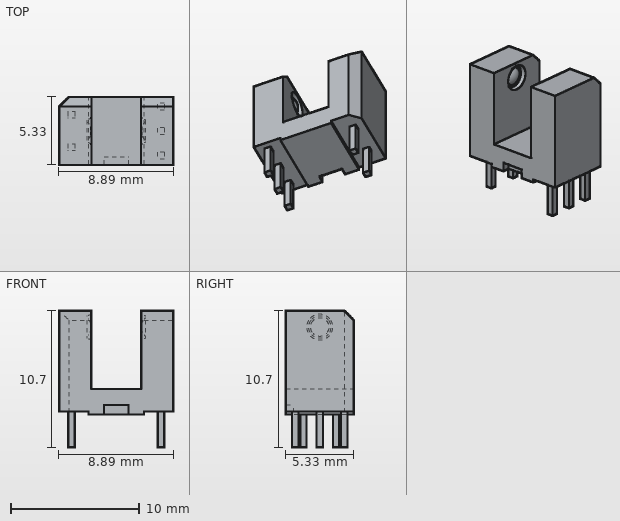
import cadquery as cq

body_length = 8.89
body_width = 5.33
body_height = 7.87
slot_width = 3.86
slot_depth = 6.1

top_chamfer = 0.76
corner_chamfer_x = 0.77
corner_chamfer_y = 0.74

foot_length = 4.34
foot_height = 0.25
pocket_length = 1.92
pocket_height = 0.74
pocket_depth = 0.635

overall_height = 10.67
lead_row_spacing = 6.985
lead_thickness = 0.53
left_lead_width = 0.50
left_lead_pitch = 2.54
right_lead_width = 0.53
right_lead_pitch = 1.905

aperture_drop = 1.29
aperture_mouth_radius = 1.01
aperture_floor_radius = 0.87
aperture_depth = 0.35
lens_radius = 0.72
lens_rise = 0.34

half_length = body_length / 2
half_width = body_width / 2
slot_half = slot_width / 2
aperture_z = body_height - aperture_drop
lead_bottom = body_height - overall_height


def make_housing():
    """U-shaped body with its standoff foot, extruded along Y."""
    foot_half = foot_length / 2
    slot_floor = body_height - slot_depth
    return (
        cq.Workplane("XZ")
        .moveTo(-half_length, 0)
        .lineTo(-foot_half, 0)
        .lineTo(-foot_half, -foot_height)
        .lineTo(foot_half, -foot_height)
        .lineTo(foot_half, 0)
        .lineTo(half_length, 0)
        .lineTo(half_length, body_height)
        .lineTo(slot_half, body_height)
        .lineTo(slot_half, slot_floor)
        .lineTo(-slot_half, slot_floor)
        .lineTo(-slot_half, body_height)
        .lineTo(-half_length, body_height)
        .close()
        .extrude(half_width, both=True)
    )


def make_top_chamfer_cut():
    """Wedge along X that bevels the top back edge of both towers."""
    return (
        cq.Workplane("YZ")
        .moveTo(half_width, body_height)
        .lineTo(half_width - top_chamfer, body_height)
        .lineTo(half_width, body_height - top_chamfer)
        .close()
        .extrude(half_length, both=True)
    )


def make_corner_chamfer_cut():
    """Upright wedge that bevels the back corner of the -X tower."""
    return (
        cq.Workplane("XY")
        .moveTo(-half_length, half_width)
        .lineTo(-half_length + corner_chamfer_x, half_width)
        .lineTo(-half_length, half_width - corner_chamfer_y)
        .close()
        .extrude(body_height)
    )


def make_pocket_cut():
    """Pocket in the front (-Y) face, open downwards through the foot."""
    return (
        cq.Workplane("XY", origin=(0, -half_width + pocket_depth / 2, -foot_height))
        .rect(pocket_length, pocket_depth)
        .extrude(pocket_height)
    )


def make_aperture_cut():
    """Tapered recess in the inner face of the +X tower, around a domed lens on its floor."""
    dome_radius = (lens_radius**2 + lens_rise**2) / (2 * lens_rise)
    profile = (
        cq.Workplane("XY")
        .moveTo(0, 0)
        .lineTo(0, aperture_mouth_radius)
        .lineTo(aperture_depth, aperture_floor_radius)
        .lineTo(aperture_depth, lens_radius)
        .radiusArc((aperture_depth - lens_rise, 0), -dome_radius)
        .close()
    )
    return profile.revolve(360, (0, 0), (1, 0)).translate((slot_half, 0, aperture_z))


def make_leads(x, width, pitch, count):
    """Row of straight leads along Y, centred on Y = 0."""
    return (
        cq.Workplane("XY", origin=(x, 0, lead_bottom))
        .rarray(pitch, pitch, 1, count)
        .rect(lead_thickness, width)
        .extrude(-lead_bottom)
    )


aperture_cut = make_aperture_cut()

result = (
    make_housing()
    .cut(make_top_chamfer_cut())
    .cut(make_corner_chamfer_cut())
    .cut(make_pocket_cut())
    .cut(aperture_cut)
    .cut(aperture_cut.mirror("YZ"))
    .union(make_leads(-lead_row_spacing / 2, left_lead_width, left_lead_pitch, 2))
    .union(make_leads(lead_row_spacing / 2, right_lead_width, right_lead_pitch, 3))
)